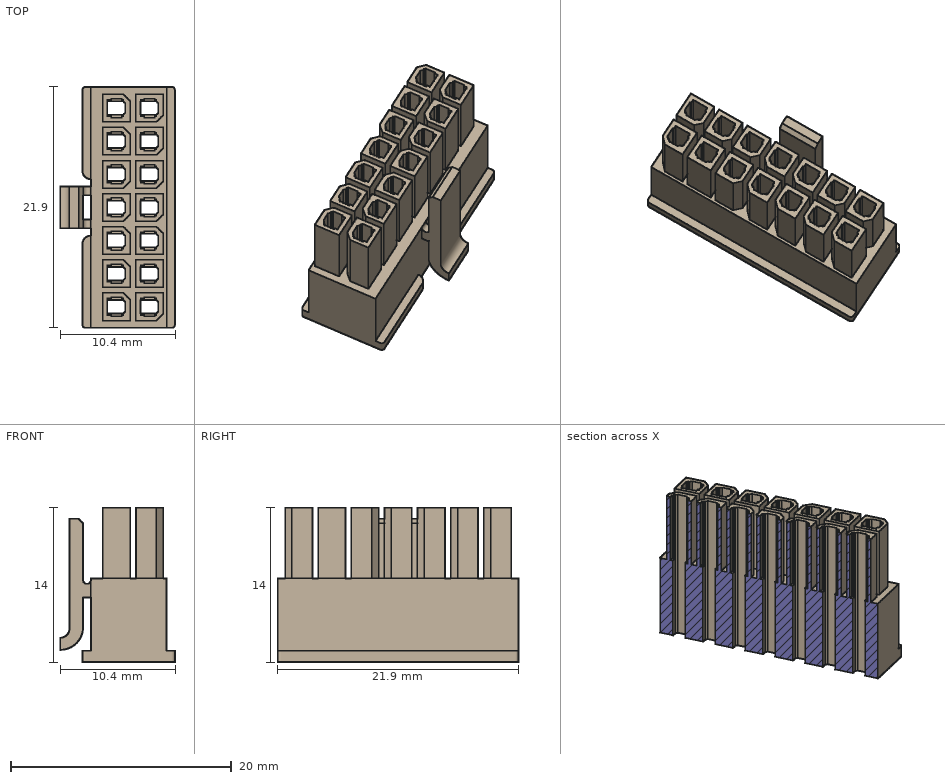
import cadquery as cq
import math

DIAGONAL = math.sqrt(0.5)

housing_width = 6.86
housing_length = 21.85
shoulder_height = 7.6

flange_width = 8.4
flange_height = 1.05
flange_corner_radius = 0.3
flange_gap = 5.1

total_height = 14.0
silo_size = 2.5
silo_pitch = 3.0
silo_center_x = 0.4
silo_key_chamfer = 0.63

silo_keys = [
    [1, 1, 1, -1, -1, 1, 1],
    [-1, 0, 1, -1, -1, -1, -1],
]

cavity_start = 0.43
cavity_corner = 1.85
cavity_end = 2.03
cavity_width = 1.5
cavity_nose_width = 0.86
passage_width = 1.2
groove_start = 0.76
groove_end = 1.73
groove_width = 1.72
ledge_height = shoulder_height

latch_length_y = 3.8
latch_top = 13.0
latch_tip_x = -6.2
latch_outer_x = -5.37
latch_thickness = 1.25
latch_top_chamfer = 0.42
curl_center_z = 3.05
curl_tip_bottom = 1.1
bridge_bottom = 5.85
bridge_top = 7.45
bridge_length_y = 0.82


def make_housing():
    """Block with a foot flange; the -X flange is broken in the middle."""
    block = cq.Workplane("XY").box(
        housing_width, housing_length, shoulder_height, centered=(True, True, False)
    )
    flange = (
        cq.Workplane("XY")
        .box(flange_width, housing_length, flange_height, centered=(True, True, False))
        .edges("|Z")
        .fillet(flange_corner_radius)
    )
    outer_x = -flange_width / 2
    inner_x = -housing_width / 2
    radius = inner_x - outer_x
    gap_end = flange_gap / 2
    round_x = inner_x - radius * DIAGONAL
    round_y = gap_end + radius * (1 - DIAGONAL)
    gap = (
        cq.Workplane("XY")
        .moveTo(outer_x, -gap_end - radius)
        .threePointArc((round_x, -round_y), (inner_x, -gap_end))
        .lineTo(inner_x, gap_end)
        .threePointArc((round_x, round_y), (outer_x, gap_end + radius))
        .close()
        .extrude(flange_height)
    )
    return block.union(flange.cut(gap))


def make_silo(key):
    """Square post centred on the origin, with its key corner cut."""
    silo = cq.Workplane("XY").box(
        silo_size, silo_size, total_height - shoulder_height, centered=(True, True, False)
    )
    if key > 0:
        silo = silo.edges("|Z and >X and >Y").chamfer(silo_key_chamfer)
    elif key < 0:
        silo = silo.edges("|Z and >X and <Y").chamfer(silo_key_chamfer)
    return silo.translate((0, 0, shoulder_height))


def make_cavity():
    """Through passage that widens and gains side grooves above the ledge."""
    depth = total_height - ledge_height
    passage = (
        cq.Workplane("XY")
        .moveTo(cavity_start, -passage_width / 2)
        .lineTo(cavity_corner, -passage_width / 2)
        .lineTo(cavity_end, -cavity_nose_width / 2)
        .lineTo(cavity_end, cavity_nose_width / 2)
        .lineTo(cavity_corner, passage_width / 2)
        .lineTo(cavity_start, passage_width / 2)
        .close()
        .extrude(total_height)
    )
    chamber = cq.Workplane("XY", origin=(cavity_start, 0, ledge_height)).box(
        cavity_corner - cavity_start, cavity_width, depth, centered=(False, True, False)
    )
    grooves = cq.Workplane("XY", origin=(groove_start, 0, ledge_height)).box(
        groove_end - groove_start, groove_width, depth, centered=(False, True, False)
    )
    return passage.union(chamber).union(grooves).translate((-silo_size / 2, 0, 0))


def make_latch():
    """Lever with an outward curl at its foot, held by two bridges."""
    inner_x = latch_outer_x + latch_thickness
    inner_radius = latch_outer_x - latch_tip_x
    outer_radius = inner_x - latch_tip_x
    outer_center_z = curl_tip_bottom + outer_radius
    lever = (
        cq.Workplane("XZ")
        .moveTo(latch_outer_x, latch_top)
        .lineTo(latch_outer_x, curl_center_z)
        .threePointArc(
            (latch_tip_x + inner_radius * DIAGONAL, curl_center_z - inner_radius * DIAGONAL),
            (latch_tip_x, curl_center_z - inner_radius),
        )
        .lineTo(latch_tip_x, curl_tip_bottom)
        .threePointArc(
            (latch_tip_x + outer_radius * DIAGONAL, outer_center_z - outer_radius * DIAGONAL),
            (inner_x, outer_center_z),
        )
        .lineTo(inner_x, latch_top - latch_top_chamfer)
        .lineTo(inner_x - latch_top_chamfer, latch_top)
        .close()
        .extrude(latch_length_y / 2, both=True)
    )
    housing_x = -housing_width / 2
    scoop_radius = (housing_x - inner_x) / 2
    bridges = (
        cq.Workplane("XZ")
        .moveTo(inner_x, bridge_bottom)
        .lineTo(housing_x, bridge_bottom)
        .lineTo(housing_x, bridge_top)
        .threePointArc((inner_x + scoop_radius, bridge_top - scoop_radius), (inner_x, bridge_top))
        .close()
        .extrude(latch_length_y / 2, both=True)
    )
    window = cq.Workplane("XY", origin=(inner_x, 0, 0)).box(
        housing_x - inner_x,
        latch_length_y - 2 * bridge_length_y,
        shoulder_height,
        centered=(False, True, False),
    )
    return lever.union(bridges.cut(window))


result = make_housing().union(make_latch())
cavity = make_cavity()
for column, keys in enumerate(silo_keys):
    x = silo_center_x + (column - (len(silo_keys) - 1) / 2) * silo_pitch
    for row, key in enumerate(keys):
        y = (row - (len(keys) - 1) / 2) * silo_pitch
        result = result.union(make_silo(key).translate((x, y, 0)))
        result = result.cut(cavity.translate((x, y, 0)))